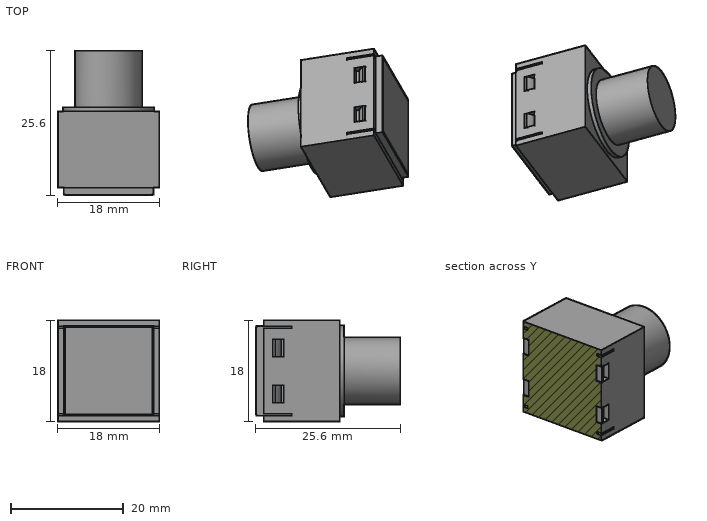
import cadquery as cq
import math

cap_side = 15.95
cap_height = 1.27
pad_side = 15.45
pad_thickness = 0.08

flange_diameter = 16.26
flange_thickness = 0.75
shaft_diameter = 12.0
shaft_length = 10.0

total_length = 25.63
body_side = 18.01
body_length = total_length - pad_thickness - cap_height - flange_thickness - shaft_length

wall = (body_side - cap_side) / 2

slit_length = 5.05
slit_width = 0.34
slit_offset = 7.74

window_front = 1.6
window_length = 2.03
window_height = 3.06
window_offset = 4.08
window_depth = 1.2

lug_front_gap = 0.08
lug_top_length = 0.44
lug_flank_length = 1.0
lug_recess = 0.04
lug_flank_radius = 7.52 / 2

sides = (-1, 1)


def square_block(side, y_start, length):
    """Square block centred on the Y axis, running from y_start towards +Y."""
    return cq.Workplane("XY").box(side, length, side).translate((0, y_start + length / 2, 0))


def round_block(diameter, y_start, length):
    """Cylinder on the Y axis, running from y_start towards +Y."""
    return cq.Workplane("XZ", origin=(0, y_start, 0)).circle(diameter / 2).extrude(-length)


def side_pocket(side, depth, y_start, length, z_center, height):
    """Rectangular block that sinks to the given depth below one side skin."""
    x_center = side * (body_side - depth) / 2
    block = cq.Workplane("XY").box(depth, length, height)
    return block.translate((x_center, y_start + length / 2, z_center))


def snap_lug(side, z_center):
    """Lug from the window floor out to just below the skin, its convex flank facing the rear."""
    x_root = side * (body_side / 2 - window_depth)
    x_top = side * (body_side / 2 - lug_recess)
    y_front = window_front + lug_front_gap
    y_top_end = y_front + lug_top_length
    y_root_end = y_top_end + lug_flank_length

    lug_height = window_depth - lug_recess
    chord = math.hypot(lug_height, lug_flank_length)
    rise = lug_flank_radius - math.sqrt(lug_flank_radius**2 - (chord / 2) ** 2)
    x_mid = (x_root + x_top) / 2 + side * rise * lug_flank_length / chord
    y_mid = (y_top_end + y_root_end) / 2 + rise * lug_height / chord

    profile = (
        cq.Workplane("XY", origin=(0, 0, z_center - window_height / 2))
        .moveTo(x_root, y_front)
        .lineTo(x_top, y_front)
        .lineTo(x_top, y_top_end)
        .threePointArc((x_mid, y_mid), (x_root, y_root_end))
        .close()
    )
    return profile.extrude(window_height)


result = square_block(body_side, 0, body_length)
result = result.union(round_block(flange_diameter, body_length, flange_thickness))
result = result.union(round_block(shaft_diameter, body_length + flange_thickness, shaft_length))

result = result.union(square_block(cap_side, -cap_height, cap_height))
result = result.union(square_block(pad_side, -cap_height - pad_thickness, pad_thickness))

for x_side in sides:
    for z_side in sides:
        slit_z = z_side * slit_offset
        window_z = z_side * window_offset
        slit = side_pocket(x_side, wall, 0, slit_length, slit_z, slit_width)
        window = side_pocket(x_side, window_depth, window_front, window_length, window_z, window_height)
        result = result.cut(slit).cut(window).union(snap_lug(x_side, window_z))